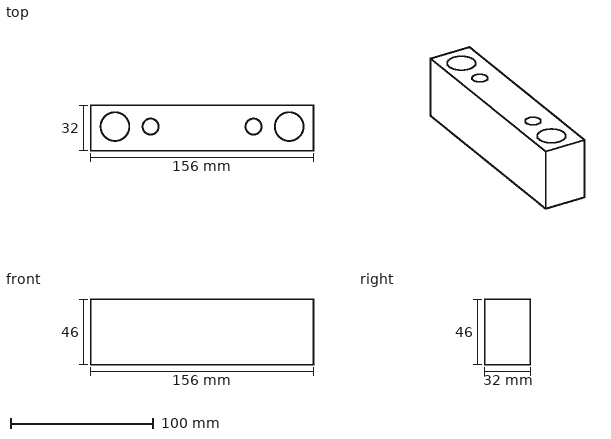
import cadquery as cq

length = 156.0
width = 32.0
height = 46.0

hole_line_y = 1.0
large_diameter = 20.0
large_spacing = 122.0
small_diameter = 11.0
small_spacing = 72.0


def drill_pair(body, diameter, spacing):
    """Drill two vertical through holes, symmetric about the block's middle in X."""
    centres = [(-spacing / 2, hole_line_y), (spacing / 2, hole_line_y)]
    return body.faces(">Z").workplane(origin=(0, 0, 0)).pushPoints(centres).hole(diameter)


block = cq.Workplane("XY").box(length, width, height)
block = drill_pair(block, large_diameter, large_spacing)
result = drill_pair(block, small_diameter, small_spacing)